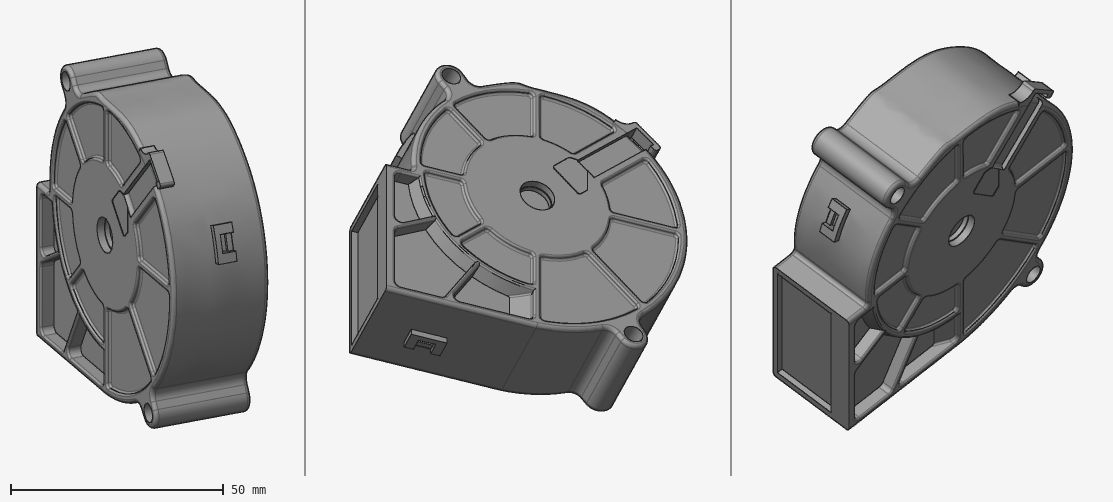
import cadquery as cq
import math


DEPTH = 25.0
SCROLL_RADIUS = 37.8
SCROLL_SHRINK = 3.25
START_ANGLE = -90
END_ANGLE = 180
EDGE_ROUND = 1.0

OUTLET_X = -37.85
OUTLET_TOP = -1.4
OUTLET_BOTTOM = -41.0
OUTLET_BLEND = 1.0
MOUTH_Y = (6.0, 23.6)
MOUTH_Z = (-39.1, -3.2)
MOUTH_DEPTH = 1.55

UPPER_BOSS = (-21.6, 30.95)
LOWER_BOSS = (24.15, -36.15)
BOSS_RADIUS = 3.8
BOSS_HOLE_RADIUS = 2.3
BOSS_BLEND = 2.7
BOSS_FLAT = 2.0

BLEND_SEARCH_SPAN = 25
BLEND_SEARCH_STEPS = 40

CELL_DEPTH = 1.1
CELL_ROUND = 0.5
CELL_CORNER = 1.0
HUB_RADIUS = 18.4
SPOKE_PITCH = 45
SPOKE_HALF = 0.85
RIM_WIDTH = 2.25
RING_RADIUS = 28.25

DEEP_DEPTH = 3.5
DEEP_CORNER = 1.55
DEEP_LEFT = -35.7
DEEP_TOP = -3.25
DEEP_BOTTOM = -39.2
RING_OUTER = 29.7
RING_FOOT = 31.3
DEEP_RIB_WIDTH = 1.2
DEEP_RIB_ANGLES = (210, 240)
RAMP_START_X = -5.7

CHANNEL_ANGLE = 45
CHANNEL_HALF = 2.95
CHANNEL_START = 17.25
CHANNEL_DEPTH = 1.15
CHANNEL_ROUND = 1.0
CHANNEL_WALL = 2.0
HOOK_HEIGHT = 3.6
HOOK_ROOT_OUTER = 39.2
HOOK_TIP_OUTER = 39.5
HOOK_ARM = 1.1
HOOK_HALF = 4.6
HOOK_KNOB_WIDTH = 1.8
HOOK_KNOB_INNER = 37.4
HOOK_ROUND = 0.7
HOOK_ROOT_DEPTH = 1.55
HOOK_BLEND = 3.5

SHAFT_RADIUS = 4.3
SHAFT_STEP_RADIUS = 4.1
SHAFT_STEP_DEPTH = 1.9
SHAFT_DEPTH = 3.2
WINDOW_POINTS = [(8.0, 14.6), (10.0, 14.5), (12.6, 11.85), (12.6, 5.7), (10.5, 3.6), (3.8, 10.4)]
WINDOW_CORNER = 0.7
WINDOW_DEPTH = 0.15

CATCH_Y = (11.45, 16.25)
CATCH_LENGTH = 9.0
CATCH_HEIGHT = 1.55
FLAT_CATCH_HEIGHT = 1.6
CATCH_ANGLES = (15, 150)
FLAT_CATCH_X = -22.9
NOTCH_LENGTH = 4.3
NOTCH_Y = 12.85
NOTCH_STEP_Y = 14.8
NOTCH_FLOOR = 0.2
NOTCH_STEP = 0.6

PICK_GAP = 0.1
OVERLAP = 0.8


def scroll_radius(angle):
    return SCROLL_RADIUS - SCROLL_SHRINK * angle / 90


def polar(radius, angle):
    a = math.radians(angle)
    return (radius * math.cos(a), radius * math.sin(a))


def toward(start, end, distance):
    """Point at a distance from start on the way to end."""
    ratio = distance / math.dist(start, end)
    return tuple(s + ratio * (e - s) for s, e in zip(start, end))


def scroll_tangent(angle):
    """Unit direction of travel along the scroll."""
    slope = -SCROLL_SHRINK / (math.pi / 2)
    along, across = polar(scroll_radius(angle), angle + 90), polar(slope, angle)
    direction = (along[0] + across[0], along[1] + across[1])
    return toward((0, 0), direction, 1)


def curve_points(radius_at, start, end, steps=8):
    angles = [start + (end - start) * i / steps for i in range(steps + 1)]
    return [polar(radius_at(a), a) for a in angles]


def extruded(sketch, start, end):
    """Solid from an XZ outline between two Y positions."""
    return sketch.extrude(-(end - start)).translate((0, start, 0))


def block(x_range, y_range, z_range):
    sizes = [r[1] - r[0] for r in (x_range, y_range, z_range)]
    corner = (x_range[0], y_range[0], z_range[0])
    return cq.Workplane("XY").box(*sizes, centered=False).translate(corner)


def cut_all(body, tools):
    solids = [solid for tool in tools for solid in tool.solids().vals()]
    return body.newObject([body.val().cut(*solids)])


def join_all(body, parts):
    return body.newObject([body.val().fuse(*[part.val() for part in parts])])


def turned(shape, angle):
    """Turn a shape from the +X direction to a polar angle in the XZ plane."""
    return shape.rotate((0, 0, 0), (0, 1, 0), -angle)



def blend_centre(angle):
    """Centre of a blend circle resting on the outside of the scroll."""
    x, z = polar(scroll_radius(angle), angle)
    tx, tz = scroll_tangent(angle)
    return (x + BOSS_BLEND * tz, z - BOSS_BLEND * tx)


def blend_angle(boss, side):
    """Scroll angle at which the blend circle lies one straight neck away from the boss."""
    reach = math.hypot(BOSS_RADIUS + BOSS_BLEND, BOSS_FLAT)
    near = math.degrees(math.atan2(boss[1], boss[0]))
    far = near + side * BLEND_SEARCH_SPAN
    for _ in range(BLEND_SEARCH_STEPS):
        middle = (near + far) / 2
        if math.dist(blend_centre(middle), boss) < reach:
            near = middle
        else:
            far = middle
    return far


def add_scroll(path, start, end):
    points = curve_points(scroll_radius, start, end)
    tangents = [scroll_tangent(start), scroll_tangent(end)]
    return path.spline(points[1:], tangents=tangents, includeCurrent=True)


def boss_side(boss, side):
    """Points of one boss flank: on the scroll, mid blend, both ends of the neck."""
    angle = blend_angle(boss, side)
    centre = blend_centre(angle)
    on_scroll = polar(scroll_radius(angle), angle)
    bearing = math.atan2(centre[1] - boss[1], centre[0] - boss[0])
    bearing -= side * math.atan2(BOSS_FLAT, BOSS_RADIUS + BOSS_BLEND)
    normal = (math.cos(bearing), math.sin(bearing))
    on_boss = tuple(b + BOSS_RADIUS * n for b, n in zip(boss, normal))
    on_blend = tuple(c - BOSS_BLEND * n for c, n in zip(centre, normal))
    halfway = [(p + q) / 2 for p, q in zip(on_scroll, on_blend)]
    return on_scroll, toward(centre, halfway, BOSS_BLEND), on_blend, on_boss


def add_boss(path, boss):
    """Blend, neck, boss arc, neck and blend, travelling counter-clockwise."""
    first, second = boss_side(boss, -1), boss_side(boss, 1)
    path = path.threePointArc(first[1], first[2]).lineTo(*first[3])
    path = path.threePointArc(toward(boss, (0, 0), -BOSS_RADIUS), second[3])
    return path.lineTo(*second[2]).threePointArc(second[1], second[0])


def housing():
    scroll_end = polar(scroll_radius(END_ANGLE), END_ANGLE)
    path = cq.Workplane("XZ").moveTo(OUTLET_X, OUTLET_BOTTOM)
    path = path.lineTo(*polar(scroll_radius(START_ANGLE), START_ANGLE))
    angle = START_ANGLE
    for boss in (LOWER_BOSS, UPPER_BOSS):
        path = add_scroll(path, angle, blend_angle(boss, -1))
        path = add_boss(path, boss)
        angle = blend_angle(boss, 1)
    path = add_scroll(path, angle, END_ANGLE)
    path = path.lineTo(scroll_end[0], OUTLET_TOP + OUTLET_BLEND)
    path = path.radiusArc((scroll_end[0] - OUTLET_BLEND, OUTLET_TOP), OUTLET_BLEND)
    path = path.lineTo(OUTLET_X, OUTLET_TOP).close()
    body = extruded(path, 0, DEPTH)

    rims = body.faces("<Y or >Y").edges()
    mouth_edges = body.faces("<X").edges()
    return rims.newObject([e for e in rims.vals() if e not in mouth_edges.vals()]).fillet(EDGE_ROUND)



def cell(start, end, start_half, end_half, outer_radius_at):
    """Shallow pocket between two spokes, given the half width of each."""
    def span(radius):
        return (start + math.degrees(math.asin(start_half / radius)),
                end - math.degrees(math.asin(end_half / radius)))

    inner = span(HUB_RADIUS)
    outer = span(outer_radius_at((start + end) / 2))
    outer_points = curve_points(outer_radius_at, *outer)
    path = cq.Workplane("XZ").moveTo(*polar(HUB_RADIUS, inner[0])).lineTo(*outer_points[0])
    path = path.spline(outer_points[1:], includeCurrent=True)
    path = path.lineTo(*polar(HUB_RADIUS, inner[1]))
    path = path.threePointArc(polar(HUB_RADIUS, sum(inner) / 2), polar(HUB_RADIUS, inner[0])).close()
    pocket = extruded(path, 0, CELL_DEPTH).edges("|Y").fillet(CELL_CORNER)
    return pocket.faces(">Y").edges().fillet(CELL_ROUND)


def ring_radius(angle):
    return RING_RADIUS


def rim_radius(angle):
    return scroll_radius(angle) - RIM_WIDTH


def cells():
    """One pocket between each pair of spokes; beside the outlet they end at the ring."""
    def half_width(angle):
        return CHANNEL_HALF + CHANNEL_WALL if angle == CHANNEL_ANGLE else SPOKE_HALF

    pockets = []
    for start in range(START_ANGLE, START_ANGLE + 360, SPOKE_PITCH):
        end = start + SPOKE_PITCH
        outer = ring_radius if start >= END_ANGLE else rim_radius
        pockets.append(cell(start, end, half_width(start), half_width(end), outer))
    return pockets


def deep_cells():
    """Three deep pockets outside the ring, parted by two radial ribs."""
    area = block((DEEP_LEFT, -SPOKE_HALF), (0, DEEP_DEPTH), (DEEP_BOTTOM, DEEP_TOP))
    ring = cq.Workplane("XZ").circle(RING_OUTER).workplane(offset=-DEEP_DEPTH)
    area = area.cut(ring.circle(RING_FOOT).loft(combine=True))
    half = DEEP_RIB_WIDTH / 2
    for angle in DEEP_RIB_ANGLES:
        rib = block((0, 2 * SCROLL_RADIUS), (0, DEEP_DEPTH), (-half, half))
        area = area.cut(turned(rib, angle))
    ramp = cq.Workplane("XY").polyline([
        (RAMP_START_X, DEEP_DEPTH), (-SPOKE_HALF, CELL_DEPTH), (-SPOKE_HALF, DEEP_DEPTH)]).close()
    pockets = area.edges("|Y").fillet(DEEP_CORNER)
    pockets = pockets.cut(ramp.extrude(OUTLET_BOTTOM))
    near_corner = (RAMP_START_X + PICK_GAP, CELL_DEPTH - PICK_GAP, OUTLET_BOTTOM)
    far_corner = (0, DEEP_DEPTH - PICK_GAP, -RING_OUTER)
    ramp_edges = cq.selectors.BoxSelector(near_corner, far_corner)
    return pockets.edges(ramp_edges).fillet(CELL_ROUND)


def cut_rounded(body, pockets):
    """Cut pockets into the cover face and round the edges of their openings."""
    body = cut_all(body, pockets)
    front = body.faces("%PLANE").faces("<Y").val()
    openings = [edge for wire in front.innerWires() for edge in wire.Edges()]
    return body.newObject(openings).fillet(CELL_ROUND)


def cable_channel():
    channel = block((CHANNEL_START, HOOK_KNOB_INNER), (0, CHANNEL_DEPTH), (-CHANNEL_HALF, CHANNEL_HALF))
    channel = channel.edges("<X and >Y").fillet(CHANNEL_ROUND)
    return turned(channel, CHANNEL_ANGLE)


def cable_hook():
    """Hook over the channel exit, drawn along +X and turned into place."""
    root = scroll_radius(CHANNEL_ANGLE) - HOOK_ROOT_DEPTH
    knob_side = HOOK_KNOB_WIDTH - HOOK_HALF
    path = cq.Workplane("XZ").polyline([
        (root, CHANNEL_HALF), (HOOK_ROOT_OUTER - HOOK_ARM, CHANNEL_HALF),
        (HOOK_TIP_OUTER - HOOK_ARM, knob_side), (HOOK_KNOB_INNER, knob_side),
        (HOOK_KNOB_INNER, -HOOK_HALF), (HOOK_TIP_OUTER, -HOOK_HALF),
        (HOOK_ROOT_OUTER, HOOK_HALF), (root, HOOK_HALF)]).close()
    hook = extruded(path, 0, HOOK_HEIGHT)
    hook = hook.edges("|Y and (>X or <Z or >Z)").fillet(HOOK_ROUND)

    wall = scroll_radius(CHANNEL_ANGLE + math.degrees(HOOK_HALF / SCROLL_RADIUS))
    centre_z = HOOK_HALF + HOOK_BLEND
    centre_x = math.sqrt((wall + HOOK_BLEND) ** 2 - centre_z ** 2)
    foot = toward((centre_x, centre_z), (0, 0), HOOK_BLEND)
    web_side = HOOK_HALF - HOOK_ROUND
    web = cq.Workplane("XZ").polyline([
        (root, web_side), (centre_x, web_side), (centre_x, centre_z), foot,
        toward(foot, (0, 0), HOOK_ROOT_DEPTH)]).close()
    blend = cq.Workplane("XZ").center(centre_x, centre_z).circle(HOOK_BLEND)
    hook = hook.union(extruded(web, 0, HOOK_HEIGHT).cut(extruded(blend, 0, HOOK_HEIGHT)))
    return turned(hook, CHANNEL_ANGLE)


def shaft_hole():
    wide = extruded(cq.Workplane("XZ").circle(SHAFT_RADIUS), 0, SHAFT_STEP_DEPTH)
    return wide.union(extruded(cq.Workplane("XZ").circle(SHAFT_STEP_RADIUS), 0, SHAFT_DEPTH))


def window():
    outline = cq.Workplane("XZ").polyline(WINDOW_POINTS).close()
    return extruded(outline, 0, WINDOW_DEPTH).edges("|Y").fillet(WINDOW_CORNER)



def scroll_band(angle):
    """Function making a band that follows the scroll around an angle."""
    def band(length, low, high, y_range):
        half = math.degrees(length / 2 / scroll_radius(angle))
        inner = curve_points(lambda a: scroll_radius(a) + low, angle - half, angle + half)
        outer = curve_points(lambda a: scroll_radius(a) + high, angle + half, angle - half)
        path = cq.Workplane("XZ").moveTo(*inner[0]).spline(inner[1:], includeCurrent=True)
        path = path.lineTo(*outer[0]).spline(outer[1:], includeCurrent=True).close()
        return extruded(path, *y_range)
    return band


def flat_band(length, low, high, y_range):
    """Band below the flat outlet floor."""
    x_range = (FLAT_CATCH_X - length / 2, FLAT_CATCH_X + length / 2)
    return block(x_range, y_range, (OUTLET_BOTTOM - high, OUTLET_BOTTOM - low))


def catch(band, height):
    """Raised block with a notch that opens towards +Y."""
    raised = band(CATCH_LENGTH, -OVERLAP, height, CATCH_Y)
    return raised.cut(band(NOTCH_LENGTH, NOTCH_FLOOR, height + OVERLAP, (NOTCH_Y, CATCH_Y[1])))


def catch_recess(band):
    """Deeper part of the notch, sunk into the wall."""
    return band(NOTCH_LENGTH, -NOTCH_STEP, NOTCH_FLOOR + OVERLAP, (NOTCH_Y, NOTCH_STEP_Y))



def boss_hole(boss):
    return extruded(cq.Workplane("XZ").center(*boss).circle(BOSS_HOLE_RADIUS), 0, DEPTH)


def outlet_mouth():
    return block((OUTLET_X, OUTLET_X + MOUTH_DEPTH), MOUTH_Y, MOUTH_Z)


def round_channel_exit(body):
    exit_x, exit_z = polar(scroll_radius(CHANNEL_ANGLE), CHANNEL_ANGLE)
    exit_edge = cq.selectors.NearestToPointSelector((exit_x, CHANNEL_DEPTH, exit_z))
    return body.edges(exit_edge).fillet(CHANNEL_ROUND)



bands = [scroll_band(angle) for angle in CATCH_ANGLES]
catches = [catch(band, CATCH_HEIGHT) for band in bands] + [catch(flat_band, FLAT_CATCH_HEIGHT)]
recesses = [catch_recess(band) for band in bands + [flat_band]]
holes = [boss_hole(boss) for boss in (UPPER_BOSS, LOWER_BOSS)]

body = cut_rounded(housing(), cells() + [deep_cells()])
body = round_channel_exit(cut_all(body, [cable_channel()]))
body = join_all(body, catches + [cable_hook()])
body = cut_all(body, recesses + holes + [shaft_hole(), window(), outlet_mouth()])
result = body.solids()